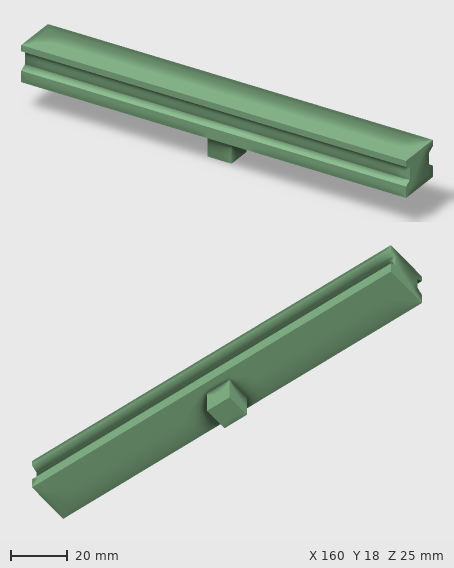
import cadquery as cq
import math

rail_length = 160.0
rail_width = 18.0
rail_height = 15.0

top_lip_height = 2.5
groove_depth = 2.5
groove_floor_height = 5.0
groove_flank_angle = 30.0
flank_rise = groove_depth * math.tan(math.radians(groove_flank_angle))
groove_mouth_top = rail_height - top_lip_height
groove_floor_top = groove_mouth_top - flank_rise
groove_floor_bottom = groove_floor_top - groove_floor_height
groove_mouth_bottom = groove_floor_bottom - flank_rise

stem_side = 10.0
stem_height = 10.0


def grooved_rail():
    """Rail along X, centred on the origin, with its underside at Z = 0."""
    half_width = rail_width / 2
    half_waist = half_width - groove_depth
    return (
        cq.Workplane("YZ")
        .moveTo(0, 0)
        .lineTo(half_width, 0)
        .lineTo(half_width, groove_mouth_bottom)
        .lineTo(half_waist, groove_floor_bottom)
        .lineTo(half_waist, groove_floor_top)
        .lineTo(half_width, groove_mouth_top)
        .lineTo(half_width, rail_height)
        .lineTo(0, rail_height)
        .mirrorY()
        .extrude(rail_length / 2, both=True)
    )


def stem():
    """Square block hanging from the underside of the rail."""
    return cq.Workplane("XY").rect(stem_side, stem_side).extrude(-stem_height)


result = grooved_rail().union(stem())